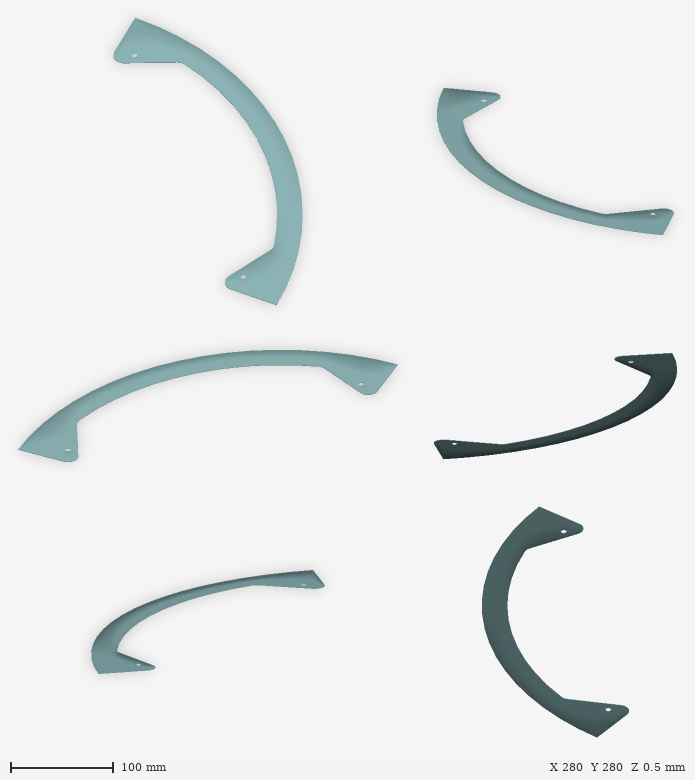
import cadquery as cq
import math

outer_radius = 280.0
band_width = 25.0
inner_radius = outer_radius - band_width
thickness = 0.5

foot_length = 64.7
foot_angle = math.radians(25.5)
corner_radius = 10.0

hole_diameter = 5.3
hole_from_end = 19.5
hole_from_center = 235.5

toe = outer_radius - foot_length
toe_along_slope = toe * math.sin(foot_angle)
toe_off_slope = toe * math.cos(foot_angle)
slope_length = math.sqrt(inner_radius**2 - toe_off_slope**2) - toe_along_slope
neck_near = slope_length * math.cos(foot_angle)
neck_far = toe + slope_length * math.sin(foot_angle)

outer_diagonal = outer_radius * math.sqrt(0.5)
inner_diagonal = inner_radius * math.sqrt(0.5)

plate = (
    cq.Workplane("XY")
    .moveTo(0, outer_radius)
    .threePointArc((outer_diagonal, outer_diagonal), (outer_radius, 0))
    .lineTo(toe, 0)
    .lineTo(neck_far, neck_near)
    .threePointArc((inner_diagonal, inner_diagonal), (neck_near, neck_far))
    .lineTo(0, toe)
    .close()
    .extrude(thickness)
)

rounded_corners = [(toe, 0), (neck_far, neck_near), (neck_near, neck_far), (0, toe)]
for x, y in rounded_corners:
    corner_edge = cq.selectors.NearestToPointSelector((x, y, thickness / 2))
    plate = plate.edges("|Z").edges(corner_edge).fillet(corner_radius)

hole_centers = [(hole_from_end, hole_from_center), (hole_from_center, hole_from_end)]
holes = (
    cq.Workplane("XY")
    .pushPoints(hole_centers)
    .circle(hole_diameter / 2)
    .extrude(thickness)
)

result = plate.cut(holes)